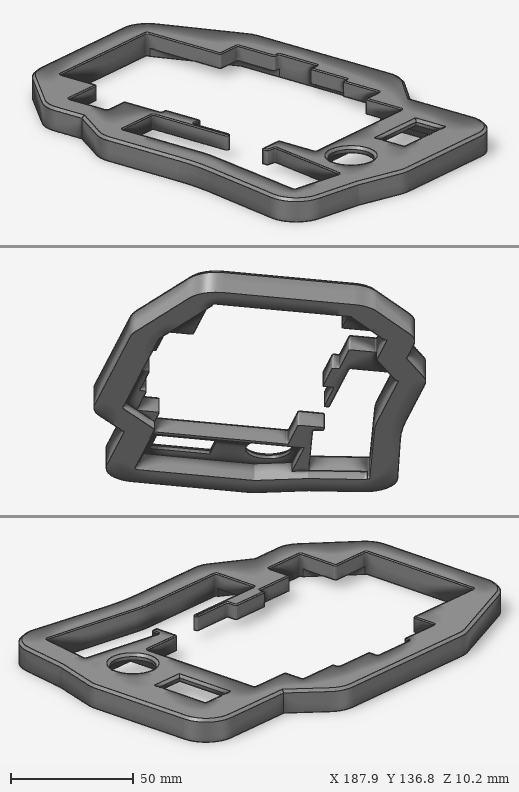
import cadquery as cq
import math

height = 10.2
lip_depth = 6.7
recess_depth = height - lip_depth
rim_radius = 13.6
rim_width = 11.85
outer_chamfer = 1.2
opening_chamfer = 0.5
opening_corner = 0.75

key_pitch = 19.05
key_clearance = 0.475
grid_left = -81.8
column_layout = [
    (41.7, 3),
    (41.7, 4),
    (53.2, 4),
    (56.1, 4),
    (51.4, 4),
    (48.4, 4),
    (38.8, 3),
]
open_column_end = 6

thumb_tilt = math.radians(10)
thumb_left = -25.4
thumb_top = -27.4
thumb_bottom = -48.1
thumb_bend = (19.5, thumb_bottom)
hook_bottom = -30.0
tilted_corner = (75.0, -32.5)
tilted_key_count = 2
tilted_length = tilted_key_count * key_pitch + 2 * key_clearance
tilted_width = 25.0
thumb_bend_radius = 45.0

window_center = (70.05, 21.15)
window_size = (13.2, 25.2)
knob_center = (66.6, -13.9)
knob_diameter = 19.0
device_chamfer = 1.2
skin_thickness = 2.7
cavity_left, cavity_right = 54.0, 84.0
cavity_bottom, cavity_top = -26.0, 37.0

core_left = -80.325
core_right = 80.325
core_top = 54.775
shoulder_y = 37.3
left_foot_y = -33.0
base_y = -45.8
slope_end_x = 24.25
base_bend_x = 22.6
toe = (69.8, -54.775)
base_bend_radius = 90.0
core_points = [
    (core_left, 40.4),
    (-44.0, core_top),
    (slope_end_x, core_top),
    (slope_end_x + core_top - shoulder_y, shoulder_y),
    (core_right, shoulder_y),
    (core_right, -11.0),
    (73.75, -32.1),
    toe,
    (base_bend_x, base_y),
    (-24.0, base_y),
    (-43.2, left_foot_y),
    (-61.4, left_foot_y),
    (core_left, -14.8),
]


def outline_body(offset, depth):
    """Prism on the base plane whose outline is the core outline grown by offset."""
    return cq.Workplane("XY").polyline(core_points).close().offset2D(offset).extrude(depth)


def make_blank():
    """Solid plate with its outer edge chamfered at the top."""
    blank = outline_body(rim_radius, height)
    bend_point = (base_bend_x, base_y - rim_radius, height / 2)
    at_bend = cq.selectors.NearestToPointSelector(bend_point)
    blank = blank.edges("|Z").edges(at_bend).fillet(base_bend_radius)
    return blank.faces(">Z").chamfer(outer_chamfer)


def column_cutter(index, top, key_count):
    """Opening for one column of keys."""
    left = grid_left + index * key_pitch - key_clearance
    width = key_pitch + 2 * key_clearance
    length = key_count * key_pitch + 2 * key_clearance
    return (
        cq.Workplane("XY")
        .rect(width, length)
        .extrude(height)
        .translate((left + width / 2, top + key_clearance - length / 2, 0))
    )


def thumb_cutter():
    """Opening for the thumb keys, with a small hook beside the open key column."""
    along = (math.cos(thumb_tilt), -math.sin(thumb_tilt))
    down = (-math.sin(thumb_tilt), -math.cos(thumb_tilt))
    right_x, right_y = tilted_corner
    tilted_left = (right_x - tilted_length * along[0], right_y - tilted_length * along[1])
    lower_right = (right_x + tilted_width * down[0], right_y + tilted_width * down[1])
    hook_drop = tilted_left[1] - hook_bottom
    hook_x = tilted_left[0] - hook_drop * math.tan(thumb_tilt)
    open_column_right = grid_left + open_column_end * key_pitch + key_clearance
    points = [
        (thumb_left, thumb_top),
        (open_column_right, thumb_top),
        (open_column_right, hook_bottom),
        (hook_x, hook_bottom),
        tilted_left,
        tilted_corner,
        lower_right,
        thumb_bend,
        (thumb_left, thumb_bottom),
    ]
    return cq.Workplane("XY").polyline(points).close().extrude(height)


def is_sharp_corner(edge):
    """True for upright edges away from the large thumb bend."""
    center = edge.Center()
    bend_distance = math.hypot(center.x - thumb_bend[0], center.y - thumb_bend[1])
    return bend_distance > thumb_bend_radius * math.tan(thumb_tilt)


def key_opening():
    """All key columns and the thumb keys joined, with a flared top edge."""
    opening = thumb_cutter()
    for index, (top, key_count) in enumerate(column_layout):
        opening = opening.union(column_cutter(index, top, key_count))
    at_bend = cq.selectors.NearestToPointSelector((*thumb_bend, height / 2))
    opening = opening.clean().edges("|Z").edges(at_bend).fillet(thumb_bend_radius)
    opening = opening.edges("|Z").filter(is_sharp_corner).fillet(opening_corner)
    top_profile = opening.faces(">Z").wires()
    flare = (
        top_profile.toPending()
        .offset2D(opening_chamfer)
        .extrude(-opening_chamfer, combine=False, taper=45)
    )
    return opening.union(flare)


def underside_recess():
    """Shallow recess inside the rim, open at the base plane."""
    return outline_body(rim_radius - rim_width, recess_depth)


def component_cavity():
    """Space below the top skin for the display and the knob."""
    cavity_depth = height - skin_thickness
    box = (
        cq.Workplane("XY", origin=(cavity_left, cavity_bottom, 0))
        .box(cavity_right - cavity_left, cavity_top - cavity_bottom, cavity_depth, centered=False)
    )
    return box.intersect(outline_body(rim_radius - rim_width, cavity_depth))


def flared_hole(center, sketch):
    """Through hole with a wide chamfer at the top face."""
    top = cq.Workplane("XY", origin=(center[0], center[1], height))
    through = sketch(top, 0).extrude(-height)
    flare_top = sketch(top, 2 * device_chamfer)
    flare = sketch(flare_top.workplane(offset=-device_chamfer), 0).loft()
    return through.union(flare)


def window_sketch(plane, growth):
    return plane.rect(window_size[0] + growth, window_size[1] + growth)


def knob_sketch(plane, growth):
    return plane.circle((knob_diameter + growth) / 2)


result = (
    make_blank()
    .cut(underside_recess())
    .cut(component_cavity())
    .cut(key_opening())
    .cut(flared_hole(window_center, window_sketch))
    .cut(flared_hole(knob_center, knob_sketch))
)